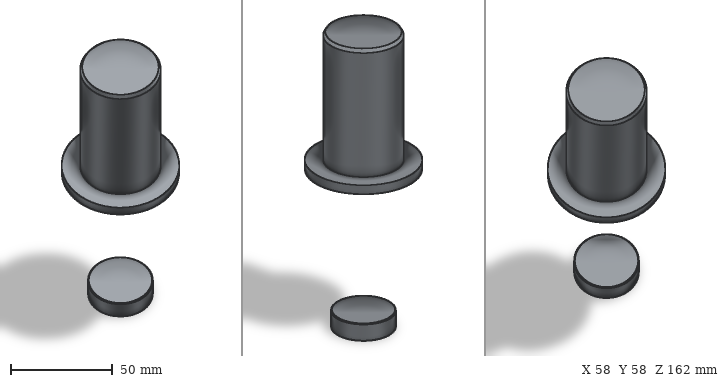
import cadquery as cq

total_height = 162.0

flange_diameter = 58.0
flange_thickness = 5.0
shaft_diameter = 39.9
pin_height = 75.0
tip_chamfer_height = 2.0
tip_chamfer_width = 1.1

disc_diameter = 32.0
disc_thickness = 9.7
disc_chamfer = 0.5

pin_bottom = total_height - pin_height


def make_flanged_pin():
    """Round shaft standing on a flange, with a steep chamfer at its tip."""
    flange = (
        cq.Workplane("XY")
        .workplane(offset=pin_bottom)
        .circle(flange_diameter / 2)
        .extrude(flange_thickness)
    )
    shaft = (
        cq.Workplane("XY")
        .workplane(offset=pin_bottom)
        .circle(shaft_diameter / 2)
        .extrude(pin_height)
        .faces(">Z")
        .chamfer(tip_chamfer_height, tip_chamfer_width)
    )
    return flange.union(shaft)


def make_disc():
    """Flat disc with both rims chamfered."""
    return (
        cq.Workplane("XY")
        .circle(disc_diameter / 2)
        .extrude(disc_thickness)
        .faces("<Z or >Z")
        .chamfer(disc_chamfer)
    )


flanged_pin = make_flanged_pin()
disc = make_disc()

result = cq.Compound.makeCompound([flanged_pin.val(), disc.val()])